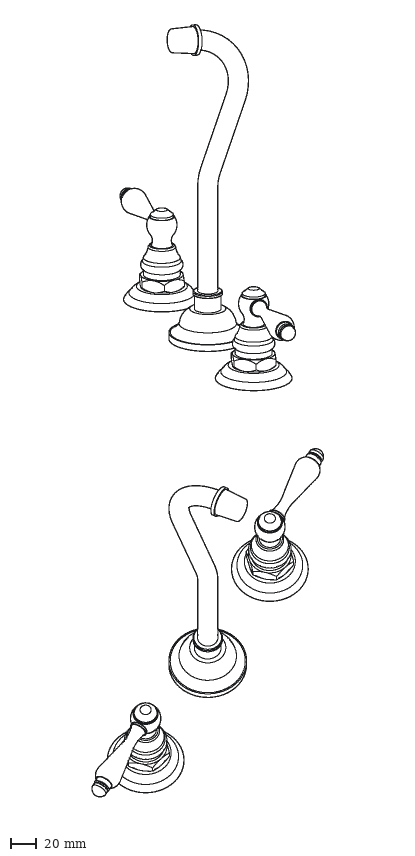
import cadquery as cq
import math

handle_spacing = 100.0
set_length = 359.5

foot_radius = 30.0
foot_lower_middle = (28.5, 2.5)
foot_lower_height = 5.5
foot_upper_radius = 25.5
foot_upper_middle = (23.7, 8.0)
foot_band_top = 10.0
foot_top_radius = 21.2
seat_radius = 19.8
seat_height = 10.8
hex_corner_radius = 19.0
hex_height = 9.7
hex_chamfer = 2.5
hex_turn = 45
bell_neck_radius = 14.5
bell_neck_top = 25.0
bulge_radius = 16.5
bulge_middle = 28.5
bulge_top_radius = 15.0
bulge_top = 31.5
shoulder_radius = 14.5
shoulder_height = 34.5
bell_middle_radius = 12.2
bell_middle_height = 37.7
bell_top_radius = 10.8
bell_rim_height = 43.0
bell_top_height = 44.5
bell_top_flat_radius = 9.7
stem_waist_radius = 7.5
stem_waist_height = 49.5
stem_radius = 8.3
ball_radius = 12.0
lever_height = 61.0
ball_bottom_radius = 10.0
cap_radius = 9.0
cap_bottom = 68.0
cap_edge_top = 69.7
cap_step_radius = 6.5
cap_step_height = 72.0
cap_top_radius = 4.3
cap_top_height = 73.5

lever_length = set_length / 2 - handle_spacing
collar_start = 10.0
collar_end = 12.0
collar_radius = 7.0
lever_root_radius = 6.0
lever_waist_radius = 4.3
lever_waist_distance = 23.7
grip_start = 31.5
grip_start_radius = 5.5
grip_radius = 10.0
grip_crest = 59.0
grip_shoulder_radius = 9.5
grip_shoulder_distance = 64.0
grip_end_radius = 7.2
grip_end = 67.0
finial_root_radius = 6.5
finial_groove_start = 70.8
finial_groove_end = 72.5
finial_groove_radius = 5.0
finial_radius = 6.0
finial_dome_start = 75.0

base_radius = 30.2
base_disc_height = 5.5
flare_radius = 29.0
dome_foot_radius = 22.3
dome_foot_height = 12.5
flare_middle_radius = 25.5
flare_middle_height = 8.0
dome_flank_radius = 18.7
dome_flank_height = 21.2
dome_top_radius = 14.0
dome_height = 24.8
collar_sleeve_radius = 10.5
collar_sleeve_height = 37.0
collar_rim_radius = 11.5
collar_rim_height = 39.5
collar_rim_chamfer = 0.7

tube_radius = 8.0
riser_height = 125.0
lean_angle = 20
lower_bend_radius = 37.7
slant_length = 61.0
crook_radius = 38.0
outlet_rise = 5

outlet_rim_radius = 12.0
outlet_rim_length = 3.0
nozzle_root_radius = 10.8
nozzle_tip_radius = 9.5
outlet_length = 21.2
nozzle_edge_fillet = 1.0


def stem_body():
    """Foot, bell, waist, ball and cap as one turned solid."""
    ball_bottom = lever_height - math.sqrt(ball_radius**2 - ball_bottom_radius**2)
    ball_top_radius = math.sqrt(ball_radius**2 - (cap_bottom - lever_height)**2)
    return (
        cq.Workplane("XZ")
        .lineTo(foot_radius, 0)
        .threePointArc(foot_lower_middle, (foot_upper_radius, foot_lower_height))
        .threePointArc(foot_upper_middle, (foot_top_radius, foot_band_top))
        .lineTo(seat_radius, seat_height)
        .lineTo(bell_neck_radius, seat_height)
        .lineTo(bell_neck_radius, bell_neck_top)
        .threePointArc((bulge_radius, bulge_middle), (bulge_top_radius, bulge_top))
        .lineTo(shoulder_radius, shoulder_height)
        .threePointArc((bell_middle_radius, bell_middle_height), (bell_top_radius, bell_rim_height))
        .lineTo(bell_top_flat_radius, bell_top_height)
        .lineTo(stem_radius, bell_top_height)
        .threePointArc((stem_waist_radius, stem_waist_height), (ball_bottom_radius, ball_bottom))
        .threePointArc((ball_radius, lever_height), (ball_top_radius, cap_bottom))
        .lineTo(cap_radius, cap_bottom)
        .lineTo(cap_radius, cap_edge_top)
        .lineTo(cap_step_radius, cap_step_height)
        .lineTo(cap_top_radius, cap_top_height)
        .lineTo(0, cap_top_height)
        .close()
        .revolve(360, (0, 0), (0, 1))
    )


def hex_body():
    """Hexagon with its corners chamfered at both ends."""
    prism = cq.Workplane("XY").polygon(6, 2 * hex_corner_radius).extrude(hex_height)
    corner_trim = cq.Workplane("XY").circle(hex_corner_radius).extrude(hex_height)
    corner_trim = corner_trim.faces("<Z or >Z").chamfer(hex_chamfer)
    return (
        prism.intersect(corner_trim)
        .rotate((0, 0, 0), (0, 0, 1), hex_turn)
        .translate((0, 0, seat_height))
    )


def lever_body():
    """Lever grip and finial, turned about X and pointing toward +X."""
    dome_depth = lever_length - finial_dome_start
    dome_radius = (finial_radius**2 + dome_depth**2) / (2 * dome_depth)
    dome_half_angle = math.asin(finial_radius / dome_radius) / 2
    dome_middle = (
        lever_length - dome_radius * (1 - math.cos(dome_half_angle)),
        dome_radius * math.sin(dome_half_angle),
    )
    return (
        cq.Workplane("XY")
        .lineTo(0, lever_root_radius)
        .lineTo(collar_start, lever_root_radius)
        .lineTo(collar_start, collar_radius)
        .lineTo(collar_end, collar_radius)
        .lineTo(collar_end, lever_root_radius)
        .threePointArc((lever_waist_distance, lever_waist_radius), (grip_start, grip_start_radius))
        .lineTo(grip_crest, grip_radius)
        .threePointArc((grip_shoulder_distance, grip_shoulder_radius), (grip_end, grip_end_radius))
        .lineTo(grip_end, finial_root_radius)
        .lineTo(finial_groove_start, finial_root_radius)
        .lineTo(finial_groove_start, finial_groove_radius)
        .lineTo(finial_groove_end, finial_groove_radius)
        .lineTo(finial_groove_end, finial_radius)
        .lineTo(finial_dome_start, finial_radius)
        .threePointArc(dome_middle, (lever_length, 0))
        .close()
        .revolve(360, (0, 0), (1, 0))
        .translate((0, 0, lever_height))
    )


def handle(side):
    """One handle; side is +1 (lever toward +X) or -1 (the same part turned half a turn)."""
    body = stem_body().union(hex_body()).union(lever_body())
    if side < 0:
        body = body.rotate((0, 0, 0), (0, 0, 1), 180)
    return body.translate((side * handle_spacing, 0, 0))


def spout_base():
    """Flared foot, dome and tube collar as one turned solid."""
    return (
        cq.Workplane("XZ")
        .lineTo(base_radius, 0)
        .lineTo(base_radius, base_disc_height)
        .lineTo(flare_radius, base_disc_height)
        .threePointArc((flare_middle_radius, flare_middle_height), (dome_foot_radius, dome_foot_height))
        .threePointArc((dome_flank_radius, dome_flank_height), (dome_top_radius, dome_height))
        .lineTo(collar_sleeve_radius, dome_height)
        .lineTo(collar_sleeve_radius, collar_sleeve_height)
        .lineTo(collar_rim_radius, collar_sleeve_height)
        .lineTo(collar_rim_radius, collar_rim_height - collar_rim_chamfer)
        .lineTo(collar_rim_radius - collar_rim_chamfer, collar_rim_height)
        .lineTo(0, collar_rim_height)
        .close()
        .revolve(360, (0, 0), (0, 1))
    )


def point_on_arc(center, radius, angle):
    """Point (y, z) at an angle in degrees from +Y toward +Z."""
    turn = math.radians(angle)
    return (center[0] + radius * math.cos(turn), center[1] + radius * math.sin(turn))


lean = math.radians(lean_angle)
lower_bend_center = (lower_bend_radius, riser_height)
lower_bend_middle = point_on_arc(lower_bend_center, lower_bend_radius, 180 - lean_angle / 2)
slant_start = point_on_arc(lower_bend_center, lower_bend_radius, 180 - lean_angle)
slant_end = (
    slant_start[0] + slant_length * math.sin(lean),
    slant_start[1] + slant_length * math.cos(lean),
)
crook_center = point_on_arc(slant_end, crook_radius, 180 - lean_angle)
crook_end_angle = 90 - outlet_rise
crook_middle = point_on_arc(crook_center, crook_radius, (crook_end_angle - lean_angle) / 2)
outlet_point = point_on_arc(crook_center, crook_radius, crook_end_angle)


def spout_tube():
    """Solid bar swept up the riser, along the slant and round the crook."""
    path = (
        cq.Workplane("YZ")
        .lineTo(0, riser_height)
        .threePointArc(lower_bend_middle, slant_start)
        .lineTo(*slant_end)
        .threePointArc(crook_middle, outlet_point)
    )
    return cq.Workplane("XY").circle(tube_radius).sweep(path)


def outlet_fitting():
    """Rim and tapered nozzle on the end of the tube."""
    rise = math.radians(outlet_rise)
    outlet_plane = cq.Plane(
        origin=(0, *outlet_point),
        xDir=(1, 0, 0),
        normal=(0, -math.cos(rise), math.sin(rise)),
    )
    rim = cq.Workplane(outlet_plane).circle(outlet_rim_radius).extrude(outlet_rim_length)
    nozzle = (
        cq.Workplane(outlet_plane)
        .circle(nozzle_root_radius)
        .workplane(offset=outlet_length)
        .circle(nozzle_tip_radius)
        .loft()
        .faces("<Y")
        .edges()
        .fillet(nozzle_edge_fillet)
    )
    return rim.union(nozzle)


spout = spout_base().union(spout_tube()).union(outlet_fitting())
handles = [handle(side) for side in (-1, 1)]

result = cq.Compound.makeCompound([spout.val(), *[body.val() for body in handles]])